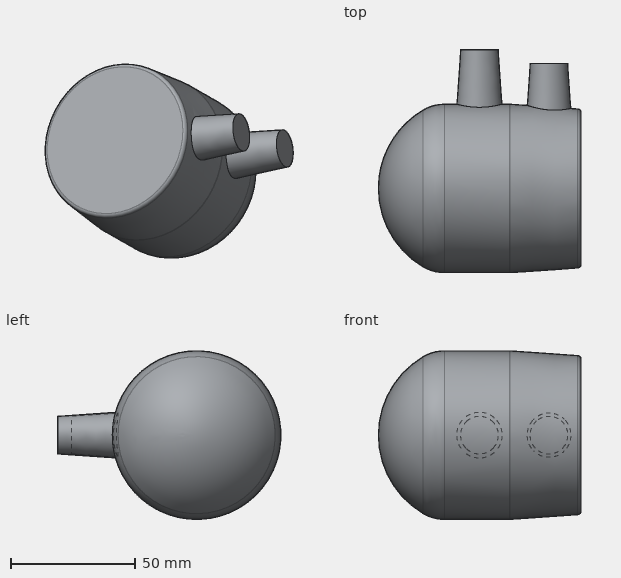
import cadquery as cq
import math

body_radius = 34.0
dome_radius = 36.75
dome_center_x = -45.0
dome_blend_radius = 17.0
taper_length = 28.75
taper_angle = math.radians(4.0)
taper_blend_radius = 4.0
end_round_radius = 1.5

nozzle_tip_radius = 7.6
nozzle_taper_angle = math.radians(4.0)
nozzle_root_y = 25.0
front_nozzle_x = -41.0
front_nozzle_tip_y = 56.0
rear_nozzle_x = -13.0
rear_nozzle_tip_y = 50.4


def point_on_circle(center_x, center_r, radius, angle):
    """Point of a circle in the profile plane, angle measured from +X."""
    return (
        center_x + radius * math.cos(angle),
        center_r + radius * math.sin(angle),
    )


def make_body():
    """Revolve the half profile: dome, blend, cylinder, taper and rounded end."""
    blend_center_r = body_radius - dome_blend_radius
    blend_offset = math.sqrt((dome_radius - dome_blend_radius) ** 2 - blend_center_r**2)
    blend_center_x = dome_center_x - blend_offset
    blend_angle = math.atan2(blend_center_r, -blend_offset)

    dome_tip = (dome_center_x - dome_radius, 0)
    dome_middle = point_on_circle(dome_center_x, 0, dome_radius, (math.pi + blend_angle) / 2)
    dome_end = point_on_circle(dome_center_x, 0, dome_radius, blend_angle)
    blend_middle = point_on_circle(
        blend_center_x, blend_center_r, dome_blend_radius, (math.pi / 2 + blend_angle) / 2
    )
    blend_end = (blend_center_x, body_radius)

    normal_angle = math.pi / 2 - taper_angle
    joint_x = -taper_length - taper_blend_radius * math.tan(taper_angle / 2)
    joint_center_r = body_radius - taper_blend_radius
    joint_middle = point_on_circle(
        joint_x, joint_center_r, taper_blend_radius, math.pi / 2 - taper_angle / 2
    )
    joint_end = point_on_circle(joint_x, joint_center_r, taper_blend_radius, normal_angle)

    end_radius = body_radius - taper_length * math.tan(taper_angle)
    round_center_x = -end_round_radius
    round_center_r = end_radius - end_round_radius * math.tan(normal_angle / 2)
    round_start = point_on_circle(round_center_x, round_center_r, end_round_radius, normal_angle)
    round_middle = point_on_circle(
        round_center_x, round_center_r, end_round_radius, normal_angle / 2
    )

    profile = (
        cq.Workplane("XY")
        .moveTo(*dome_tip)
        .threePointArc(dome_middle, dome_end)
        .threePointArc(blend_middle, blend_end)
        .lineTo(joint_x, body_radius)
        .threePointArc(joint_middle, joint_end)
        .lineTo(*round_start)
        .threePointArc(round_middle, (0, round_center_r))
        .lineTo(0, 0)
        .close()
    )
    return profile.revolve(360, (0, 0, 0), (1, 0, 0))


def make_nozzle(axis_x, tip_y):
    """Solid cone frustum along +Y, rooted inside the body."""
    length = tip_y - nozzle_root_y
    root_radius = nozzle_tip_radius + length * math.tan(nozzle_taper_angle)
    return cq.Workplane("XY").add(
        cq.Solid.makeCone(
            root_radius,
            nozzle_tip_radius,
            length,
            pnt=cq.Vector(axis_x, nozzle_root_y, 0),
            dir=cq.Vector(0, 1, 0),
        )
    )


result = make_body()
for nozzle_x, nozzle_tip_y in (
    (front_nozzle_x, front_nozzle_tip_y),
    (rear_nozzle_x, rear_nozzle_tip_y),
):
    result = result.union(make_nozzle(nozzle_x, nozzle_tip_y))